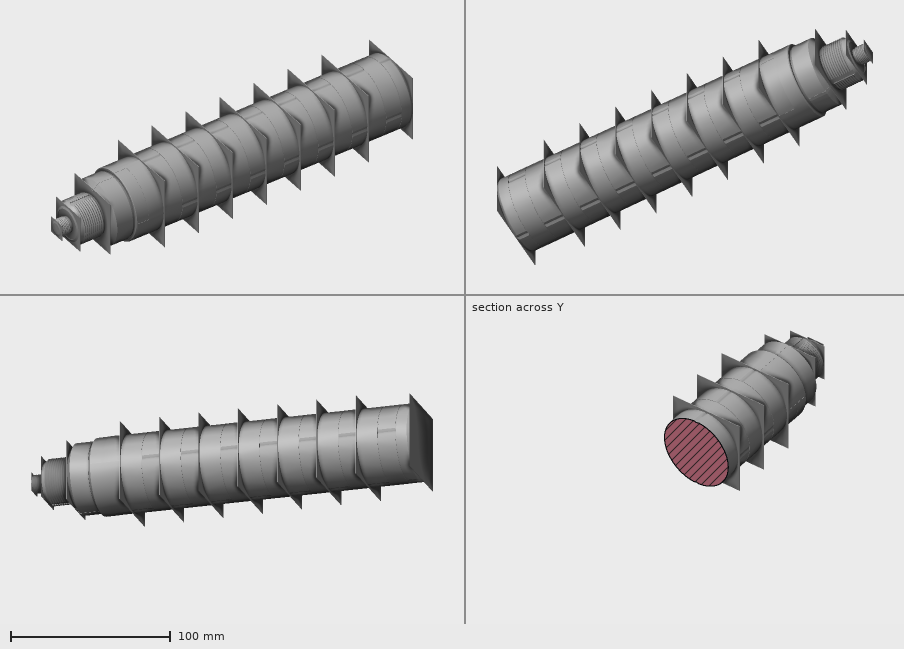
import cadquery as cq
import math

LENGTH = 254.3

BODY_RADIUS = 25.0
CAP_LENGTH = 9.0
CAP_CHAMFER_DEPTH = 1.8
CAP_CHAMFER_WIDTH = 0.8
STACK_LENGTH = 180.5
MODULE_COUNT = 7
MODULE_LENGTH = STACK_LENGTH / MODULE_COUNT
COVER_LENGTH = 12.0
JOINT_WIDTH = 0.5
JOINT_DEPTH = 0.3

BASE_LENGTH = 20.5
BASE_CHAMFER = 0.5
NECK_RADIUS = 22.5
NECK_LENGTH = 1.5
COLLAR_RADIUS = 23.0
COLLAR_LENGTH = 12.0
COLLAR_END_RADIUS = 18.3
COLLAR_CHAMFER_LENGTH = 3.3
COLLAR_RIB_WIDTH = 2.0
COLLAR_RIB_HEIGHT = 0.13

THREAD_RADIUS = 15.0
THREAD_PITCH = 1.5
THREAD_DEPTH = 0.8
THREAD_TURNS = 10
THREAD_RELIEF = 1.0
THREAD_END_RADIUS = 13.0
THREAD_END_CHAMFER = 2.5
FLAT_WIDTH = 3.3
FLAT_RADIUS = 14.0
RIM_OUTER_RADIUS = 12.0
RIM_INNER_RADIUS = 10.5
RIM_HEIGHT = 0.5

PLUG_DIAMETER = 12.0
PLUG_RADIUS = PLUG_DIAMETER / 2
PLUG_PITCH = 1.0
PLUG_DEPTH = 0.5
PLUG_TURNS = 7
TIP_BASE_RADIUS = 5.0
TIP_RADIUS = 3.8
TIP_HEIGHT = 0.3

SHEET_THICKNESS = 0.3
JOINT_SHEET_WIDTH = 52.0
JOINT_SHEET_HEIGHT = 52.1
BACK_SHEET_SIDE = 48.3
COLLAR_SHEET_SIDE = 39.5
THREAD_SHEET_SIDE = 26.7
PLUG_SHEET_SIDE = PLUG_DIAMETER

MARK_WIDTH = 3.8
MARK_DEPTH = 0.5
STEP_DEPTH = 0.13
LABEL_GAP = 2.8
STEP_SPLIT = 11.5

stack_end = CAP_LENGTH + STACK_LENGTH
base_end = stack_end + BASE_LENGTH
neck_end = base_end + NECK_LENGTH
chamfer_start = neck_end + COLLAR_LENGTH
collar_end = chamfer_start + COLLAR_CHAMFER_LENGTH
thread_start = collar_end + THREAD_RELIEF
thread_chamfer_start = thread_start + THREAD_TURNS * THREAD_PITCH
thread_end = thread_chamfer_start + THREAD_END_CHAMFER
plug_end = LENGTH - TIP_HEIGHT
plug_start = plug_end - PLUG_TURNS * PLUG_PITCH

module_starts = [CAP_LENGTH + i * MODULE_LENGTH for i in range(MODULE_COUNT)]
cover_ends = [start + COVER_LENGTH for start in module_starts]
module_ends = [start + MODULE_LENGTH for start in module_starts]


def thread_points(start, turns, pitch, crest, depth):
    """(radius, depth) points of V-shaped thread rings."""
    points = [(crest - depth, start)]
    for turn in range(turns):
        root_start = start + turn * pitch
        points.append((crest, root_start + pitch / 2))
        points.append((crest - depth, root_start + pitch))
    return points


def joint_points(depth):
    """(radius, depth) points of a narrow groove centred on a joint."""
    floor = BODY_RADIUS - JOINT_DEPTH
    first = depth - JOINT_WIDTH / 2
    last = depth + JOINT_WIDTH / 2
    return [(BODY_RADIUS, first), (floor, first), (floor, last), (BODY_RADIUS, last)]


def block(x_range, depth_range, z_range):
    """Box given by its limits along X, depth and Z."""
    return cq.Workplane("XY").box(
        x_range[1] - x_range[0],
        depth_range[1] - depth_range[0],
        z_range[1] - z_range[0],
        centered=False,
    ).translate((x_range[0], LENGTH - depth_range[1], z_range[0]))


def sheet(depth, width, height):
    """Thin plate across the axis whose back face lies at the given depth."""
    return block(
        (-width / 2, width / 2),
        (depth, depth + SHEET_THICKNESS),
        (-height / 2, height / 2),
    )


def tube(outer, inner, start, end):
    """Round tube on the axis between two depths."""
    plane = cq.Workplane("XZ", origin=(0, LENGTH - start, 0))
    return plane.circle(outer).circle(inner).extrude(end - start)


def turned_body():
    """Everything that is round about the Y axis."""
    outline = [
        (0, 0),
        (BODY_RADIUS - CAP_CHAMFER_WIDTH, 0),
        (BODY_RADIUS, CAP_CHAMFER_DEPTH),
    ]
    for joint in sorted(module_starts + cover_ends):
        outline += joint_points(joint)
    outline += [
        (BODY_RADIUS, base_end - BASE_CHAMFER),
        (BODY_RADIUS - BASE_CHAMFER, base_end),
        (NECK_RADIUS, base_end),
        (NECK_RADIUS, neck_end),
        (COLLAR_RADIUS, neck_end),
        (COLLAR_RADIUS, chamfer_start),
        (COLLAR_END_RADIUS, collar_end),
        (THREAD_RADIUS - THREAD_DEPTH, collar_end),
    ]
    outline += thread_points(thread_start, THREAD_TURNS, THREAD_PITCH, THREAD_RADIUS, THREAD_DEPTH)
    outline += [
        (THREAD_END_RADIUS, thread_end),
        (RIM_OUTER_RADIUS, thread_end),
        (RIM_INNER_RADIUS, thread_end + RIM_HEIGHT),
        (RIM_INNER_RADIUS, thread_end),
        (PLUG_RADIUS - PLUG_DEPTH, thread_end),
    ]
    outline += thread_points(plug_start, PLUG_TURNS, PLUG_PITCH, PLUG_RADIUS, PLUG_DEPTH)
    outline += [
        (TIP_BASE_RADIUS, plug_end),
        (TIP_RADIUS, LENGTH),
        (0, LENGTH),
    ]
    points = [(radius, LENGTH - depth) for radius, depth in outline]
    return cq.Workplane("XY").polyline(points).close().revolve(360, (0, 0, 0), (0, 1, 0))


def marks(start, end, turn):
    """Opposite pair of V grooves along a ring; turn 0 puts them on top and bottom."""
    edge = math.sqrt(BODY_RADIUS**2 - (MARK_WIDTH / 2) ** 2)
    half_top = MARK_WIDTH
    top = edge + MARK_DEPTH
    plane = cq.Workplane("XZ", origin=(0, LENGTH - start, 0))
    groove = plane.polyline([(-half_top, top), (0, edge - MARK_DEPTH), (half_top, top)]).close()
    groove = groove.extrude(end - start)
    pair = groove.union(groove.rotate((0, 0, 0), (0, 1, 0), 180))
    return pair.rotate((0, 0, 0), (0, 1, 0), turn)


def base_steps():
    """Shallow label field and two stepped quarters in the base ring."""
    reach = JOINT_SHEET_HEIGHT / 2
    start = stack_end + SHEET_THICKNESS
    split = stack_end + STEP_SPLIT
    skin = tube(reach, BODY_RADIUS - STEP_DEPTH, start, base_end)
    label = block((-reach, -LABEL_GAP), (start, base_end), (LABEL_GAP, reach))
    lower_step = block((-reach, 0), (start, split), (-reach, 0))
    upper_step = block((0, reach), (split, base_end), (0, reach))
    return skin.intersect(label.union(lower_step).union(upper_step))


def thread_flats():
    """Lengthwise cuts that leave a narrow flat on the top and bottom of the thread."""
    half_width = FLAT_WIDTH / 2
    cut = block((-half_width, half_width), (collar_end, thread_end), (FLAT_RADIUS, BODY_RADIUS))
    return cut.union(cut.mirror("XY"))


def collar_ribs():
    """Narrow ribs that follow the collar and its chamfer on the top and bottom."""
    outline = [
        (LENGTH - neck_end, COLLAR_END_RADIUS),
        (LENGTH - neck_end, COLLAR_RADIUS + COLLAR_RIB_HEIGHT),
        (LENGTH - chamfer_start, COLLAR_RADIUS + COLLAR_RIB_HEIGHT),
        (LENGTH - collar_end - COLLAR_RIB_HEIGHT, COLLAR_END_RADIUS + COLLAR_RIB_HEIGHT),
        (LENGTH - collar_end - COLLAR_RIB_HEIGHT, COLLAR_END_RADIUS),
    ]
    rib = cq.Workplane("YZ").polyline(outline).close().extrude(COLLAR_RIB_WIDTH / 2, both=True)
    return rib.union(rib.mirror("XY"))


part = turned_body()

part = part.cut(marks(0, CAP_LENGTH, 0))
for module_start, cover_end, module_end in zip(module_starts, cover_ends, module_ends):
    part = part.cut(marks(module_start, cover_end, 90))
    part = part.cut(marks(cover_end, module_end, 0))

part = part.cut(base_steps())
part = part.cut(thread_flats())
part = part.union(collar_ribs())

part = part.union(sheet(0, BACK_SHEET_SIDE, BACK_SHEET_SIDE))
for module_end in module_ends:
    part = part.union(sheet(module_end, JOINT_SHEET_WIDTH, JOINT_SHEET_HEIGHT))
part = part.union(sheet(collar_end - SHEET_THICKNESS, COLLAR_SHEET_SIDE, COLLAR_SHEET_SIDE))
part = part.union(sheet(thread_end - SHEET_THICKNESS, THREAD_SHEET_SIDE, THREAD_SHEET_SIDE))
part = part.union(sheet(plug_end - SHEET_THICKNESS, PLUG_SHEET_SIDE, PLUG_SHEET_SIDE))

result = part